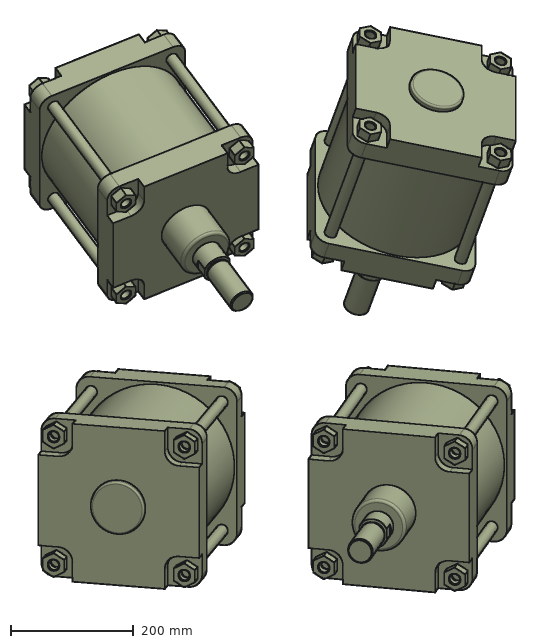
import cadquery as cq
import math


overall_length = 501.0
rear_boss_length = 10.0
cap_thickness = 51.5
barrel_length = 197.0
front_boss_length = 69.0

rear_cap_outer_x = rear_boss_length
rear_cap_inner_x = rear_cap_outer_x + cap_thickness
front_cap_inner_x = rear_cap_inner_x + barrel_length
front_cap_outer_x = front_cap_inner_x + cap_thickness
front_boss_end_x = front_cap_outer_x + front_boss_length

cap_side = 270.0
cap_corner_radius = 22.5
pocket_side = 57.5
pocket_depth = 20.0
pocket_corner_radius = 24.0
boss_diameter = 90.0
rear_boss_edge_radius = 3.5
front_boss_edge_radius = 5.0

barrel_diameter = 262.0

rod_diameter = 50.0
rod_collar_length = 15.0
flats_length = 22.5
flats_width = 46.0
undercut_length = 3.0
undercut_diameter = 39.0
thread_diameter = 42.0
thread_chamfer = 2.0

flats_start_x = front_boss_end_x + rod_collar_length
flats_end_x = flats_start_x + flats_length
thread_start_x = flats_end_x + undercut_length

tie_rod_diameter = 20.0
tie_rod_offset = 109.5
nut_width = 35.5
nut_thickness = 18.0
nut_hole_diameter = 17.0
nut_hole_chamfer = 1.5

nut_corner_diameter = nut_width / math.cos(math.pi / 6)
rear_seat_x = rear_cap_outer_x + pocket_depth
front_seat_x = front_cap_outer_x - pocket_depth
tie_rod_centres = [(y * tie_rod_offset, z * tie_rod_offset) for y in (-1, 1) for z in (-1, 1)]


def yz_plane(x):
    """Workplane across the axis at x: local x is Y, local y is Z and the normal is +X."""
    return cq.Workplane("YZ", origin=(x, 0, 0))


def cylinder(x_start, x_end, diameter):
    return yz_plane(x_start).circle(diameter / 2).extrude(x_end - x_start)


def corner_pockets(x_start):
    """Four blocks that clear the cap corners for the nuts, each rounded on its inner edge."""
    corner_offset = cap_side / 2
    corners = [(y * corner_offset, z * corner_offset) for y in (-1, 1) for z in (-1, 1)]
    return (
        yz_plane(x_start)
        .pushPoints(corners)
        .rect(2 * pocket_side, 2 * pocket_side)
        .extrude(pocket_depth)
        .edges("|X")
        .fillet(pocket_corner_radius)
    )


def make_cap(inner_x, outer_x, seat_x):
    """Square plate with rounded corners, nut pockets on its outer face and tie rod holes."""
    plate_start = min(inner_x, outer_x)
    plate = yz_plane(plate_start).rect(cap_side, cap_side).extrude(cap_thickness)
    plate = plate.edges("|X").fillet(cap_corner_radius)
    holes = yz_plane(plate_start).pushPoints(tie_rod_centres).circle(tie_rod_diameter / 2)
    return plate.cut(corner_pockets(min(seat_x, outer_x))).cut(holes.extrude(cap_thickness))


def make_rear_cap():
    boss = cylinder(0, rear_cap_outer_x, boss_diameter).faces("<X").edges().fillet(rear_boss_edge_radius)
    return make_cap(rear_cap_inner_x, rear_cap_outer_x, rear_seat_x).union(boss)


def make_front_cap():
    boss = cylinder(front_cap_outer_x, front_boss_end_x, boss_diameter)
    boss = boss.faces(">X").edges().fillet(front_boss_edge_radius)
    bore = cylinder(front_cap_inner_x, front_boss_end_x, rod_diameter)
    return make_cap(front_cap_inner_x, front_cap_outer_x, front_seat_x).union(boss).cut(bore)


def make_barrel():
    return cylinder(rear_cap_inner_x, front_cap_inner_x, barrel_diameter)


def make_piston_rod():
    """Rod through the front cap, with two wrench flats facing -Y and +Y, an undercut and a thread."""
    collar = cylinder(front_cap_inner_x, flats_start_x, rod_diameter)
    flats_envelope = yz_plane(flats_start_x).rect(flats_width, rod_diameter).extrude(flats_length)
    flats = cylinder(flats_start_x, flats_end_x, rod_diameter).intersect(flats_envelope)
    undercut = cylinder(flats_end_x, thread_start_x, undercut_diameter)
    thread = cylinder(thread_start_x, overall_length, thread_diameter)
    thread = thread.faces(">X").edges().chamfer(thread_chamfer)
    return collar.union(flats).union(undercut).union(thread)


def make_nut():
    """Nut seated at x = 0 and facing -X, with flats on -Y and +Y and a countersunk hole to its seat."""
    nut = (
        yz_plane(-nut_thickness)
        .transformed(rotate=(0, 0, 90))
        .polygon(6, nut_corner_diameter)
        .extrude(nut_thickness)
    )
    nut = nut.cut(cylinder(-nut_thickness, 0, nut_hole_diameter))
    return nut.faces("<X").edges("%CIRCLE").chamfer(nut_hole_chamfer)


def make_tie_rod(y, z):
    rear_nut = make_nut().translate((rear_seat_x, 0, 0))
    front_nut = make_nut().mirror("YZ").translate((front_seat_x, 0, 0))
    shank = cylinder(rear_seat_x, front_seat_x, tie_rod_diameter)
    return shank.union(rear_nut).union(front_nut).translate((0, y, z))


rear_cap = make_rear_cap()
barrel = make_barrel()
front_cap = make_front_cap()
piston_rod = make_piston_rod()
tie_rods = [make_tie_rod(y, z) for y, z in tie_rod_centres]

result = cq.Compound.makeCompound(
    [
        rear_cap.val(),
        barrel.val(),
        front_cap.val(),
        piston_rod.val(),
        *[tie_rod.val() for tie_rod in tie_rods],
    ]
)